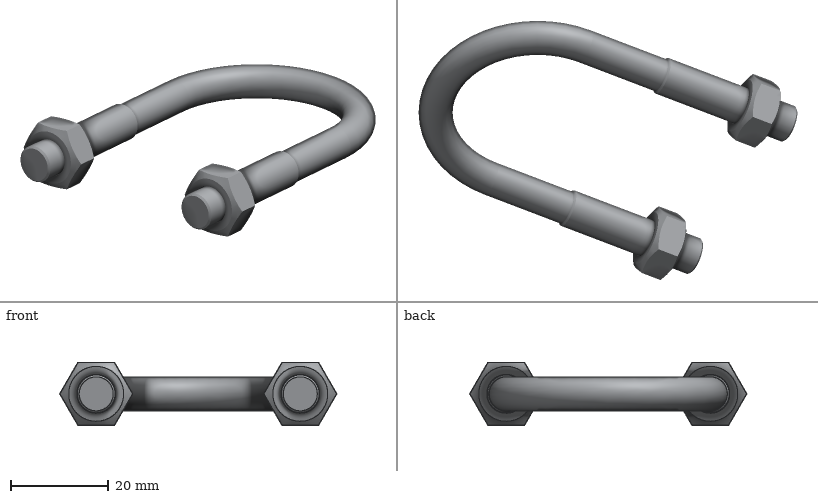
import cadquery as cq
import math

leg_spacing = 42.0
rod_diameter = 7.0
thread_diameter = 7.8
overall_length = 72.0
thread_length = 30.0
thread_chamfer = 0.4

nut_across_flats = 13.0
nut_height = 6.5
nut_end_distance = 5.0
nut_face_diameter = 11.3
nut_chamfer_angle = 30.0
nut_bore_diameter = 8.0
nut_web_thickness = 1.0

bend_radius = leg_spacing / 2
rod_radius = rod_diameter / 2
straight_length = overall_length - bend_radius - rod_radius
nut_across_corners = nut_across_flats / math.cos(math.radians(30))


def make_rod():
    """Plain round rod: two straight legs joined by a half-circle bend."""
    path = (
        cq.Workplane("XY")
        .moveTo(-bend_radius, 0)
        .lineTo(-bend_radius, straight_length)
        .threePointArc((0, straight_length + bend_radius), (bend_radius, straight_length))
        .lineTo(bend_radius, 0)
    )
    return cq.Workplane("XZ", origin=(-bend_radius, 0, 0)).circle(rod_radius).sweep(path)


def leg_plane(x, y):
    """Workplane across a leg, with its normal pointing toward the bend."""
    return cq.Workplane(cq.Plane(origin=(x, y, 0), xDir=(1, 0, 0), normal=(0, 1, 0)))


def make_thread(x):
    """Thread envelope of one leg, chamfered at both ends."""
    return (
        leg_plane(x, 0)
        .circle(thread_diameter / 2)
        .extrude(thread_length)
        .faces("<Y or >Y")
        .chamfer(thread_chamfer)
    )


def make_nut(x):
    """Hexagon nut with corners along X and conical chamfers on both faces."""
    hexagon = leg_plane(x, nut_end_distance).polygon(6, nut_across_corners).extrude(nut_height)
    face_radius = nut_face_diameter / 2
    corner_radius = nut_across_corners / 2
    chamfer_height = (corner_radius - face_radius) * math.tan(math.radians(nut_chamfer_angle))
    envelope = (
        cq.Workplane("XY", origin=(x, nut_end_distance, 0))
        .lineTo(face_radius, 0)
        .lineTo(corner_radius, chamfer_height)
        .lineTo(corner_radius, nut_height - chamfer_height)
        .lineTo(face_radius, nut_height)
        .lineTo(0, nut_height)
        .close()
        .revolve(360, (0, 0, 0), (0, 1, 0))
    )
    return hexagon.intersect(envelope)


def make_nut_gaps(x):
    """Thin ring-shaped gaps between thread and nut, one from each nut face to the web."""
    gap_depth = (nut_height - nut_web_thickness) / 2
    near_start = nut_end_distance
    far_start = nut_end_distance + nut_height - gap_depth
    gaps = []
    for start in (near_start, far_start):
        ring = leg_plane(x, start).circle(nut_bore_diameter / 2).circle(thread_diameter / 2)
        gaps.append(ring.extrude(gap_depth))
    return gaps


result = make_rod()
for leg_x in (-bend_radius, bend_radius):
    nut = make_nut(leg_x)
    for gap in make_nut_gaps(leg_x):
        nut = nut.cut(gap)
    result = result.union(make_thread(leg_x)).union(nut)